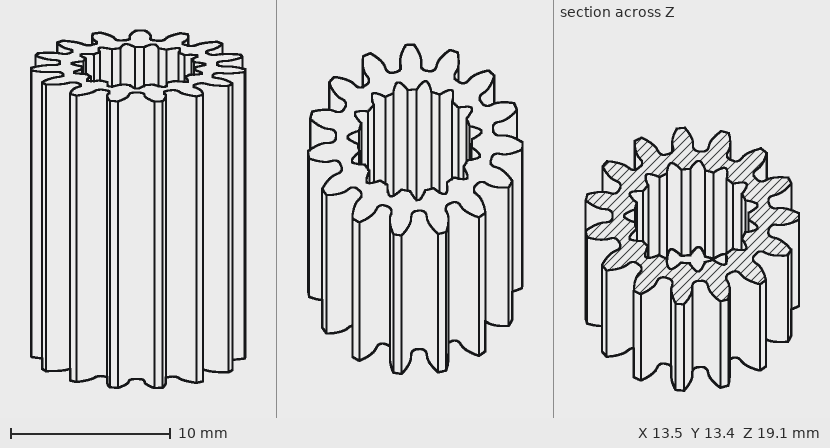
import cadquery as cq
import math

TOOTH_COUNT = 15
TOOTH_PITCH_ANGLE = 2 * math.pi / TOOTH_COUNT
FIRST_TOOTH_ANGLE = -math.pi / 2
FIRST_GAP_ANGLE = FIRST_TOOTH_ANGLE + TOOTH_PITCH_ANGLE / 2
LENGTH = 19.05

GEAR_MODULE = 25.4 / 32
GEAR_PITCH_RADIUS = GEAR_MODULE * TOOTH_COUNT / 2
GEAR_TIP_RADIUS = GEAR_PITCH_RADIUS + GEAR_MODULE
GEAR_ROOT_RADIUS = GEAR_PITCH_RADIUS - 1.25 * GEAR_MODULE
GEAR_PRESSURE_ANGLE = math.radians(20)
GEAR_ROOT_FILLET = 0.38

SPLINE_MODULE = 0.5
SPLINE_PITCH_RADIUS = SPLINE_MODULE * TOOTH_COUNT / 2
SPLINE_BORE_RADIUS = 3.57
SPLINE_FLANK_END_RADIUS = 4.12
SPLINE_GROOVE_RADIUS = 4.22
SPLINE_PRESSURE_ANGLE = math.radians(30)

INVOLUTE_POINTS = 10
FILLET_POINTS = 6


def polar(radius, angle):
    return (radius * math.cos(angle), radius * math.sin(angle))


def involute(angle):
    return math.tan(angle) - angle


def half_angle_at_base(pressure_angle):
    """Half the angle a tooth spans at its base circle, if half a pitch wide at the pitch circle."""
    return TOOTH_PITCH_ANGLE / 4 + involute(pressure_angle)


def involute_flank(start_radius, end_radius, pitch_radius, pressure_angle):
    """Points in equal steps of roll, each as radius and half the angle the tooth spans there."""
    base_radius = pitch_radius * math.cos(pressure_angle)
    start_roll = math.tan(math.acos(base_radius / start_radius))
    end_roll = math.tan(math.acos(base_radius / end_radius))
    flank = []
    for i in range(INVOLUTE_POINTS):
        slant = math.atan(start_roll + (end_roll - start_roll) * i / (INVOLUTE_POINTS - 1))
        flank.append((base_radius / math.cos(slant), half_angle_at_base(pressure_angle) - involute(slant)))
    return flank


def root_fillet(root_radius, fillet_radius, radial_half_angle):
    """Points from the root circle up to a radial flank, as radius and half the tooth's angle."""
    center_radius = root_radius + fillet_radius
    center_half_angle = radial_half_angle + math.asin(fillet_radius / center_radius)
    sweep = math.acos(fillet_radius / center_radius)
    fillet = []
    for i in range(FILLET_POINTS):
        turn = sweep * i / (FILLET_POINTS - 1)
        outward = center_radius - fillet_radius * math.cos(turn)
        sideways = fillet_radius * math.sin(turn)
        fillet.append((math.hypot(outward, sideways), center_half_angle - math.atan2(sideways, outward)))
    return fillet


def toothed_bar(half_gap, bottom_radius):
    """Bar with a smooth-walled gap repeated around a circle, and arcs between the gaps.

    The half gap lists radius and half the gap's angle, from the mouth to the bottom.
    """
    land_radius, mouth_half_angle = half_gap[0]
    outline = cq.Workplane("XY").moveTo(*polar(land_radius, FIRST_GAP_ANGLE - mouth_half_angle))
    for i in range(TOOTH_COUNT):
        center = FIRST_GAP_ANGLE + i * TOOTH_PITCH_ANGLE
        near_wall = [polar(radius, center - half) for radius, half in half_gap]
        far_wall = [polar(radius, center + half) for radius, half in reversed(half_gap)]
        bottom = polar(bottom_radius, center)
        land_middle = polar(land_radius, center + TOOTH_PITCH_ANGLE / 2)
        next_mouth = polar(land_radius, center + TOOTH_PITCH_ANGLE - mouth_half_angle)
        outline = outline.spline(near_wall[1:] + [bottom] + far_wall, includeCurrent=True)
        outline = outline.threePointArc(land_middle, next_mouth)
    return outline.close().extrude(LENGTH)


def spur_gear():
    """Between the tooth tips, each gap runs down an involute and around the root fillets."""
    base_radius = GEAR_PITCH_RADIUS * math.cos(GEAR_PRESSURE_ANGLE)
    fillet = root_fillet(GEAR_ROOT_RADIUS, GEAR_ROOT_FILLET, half_angle_at_base(GEAR_PRESSURE_ANGLE))
    flank = involute_flank(base_radius, GEAR_TIP_RADIUS, GEAR_PITCH_RADIUS, GEAR_PRESSURE_ANGLE)
    half_gap = [(radius, TOOTH_PITCH_ANGLE / 2 - half) for radius, half in reversed(fillet + flank)]
    return toothed_bar(half_gap, GEAR_ROOT_RADIUS)


def spline_bore():
    """The space inside the splined hole: its outward teeth are the grooves, with rounded bottoms."""
    half_groove = involute_flank(
        SPLINE_BORE_RADIUS, SPLINE_FLANK_END_RADIUS, SPLINE_PITCH_RADIUS, SPLINE_PRESSURE_ANGLE
    )
    return toothed_bar(half_groove, SPLINE_GROOVE_RADIUS)


result = spur_gear().cut(spline_bore())